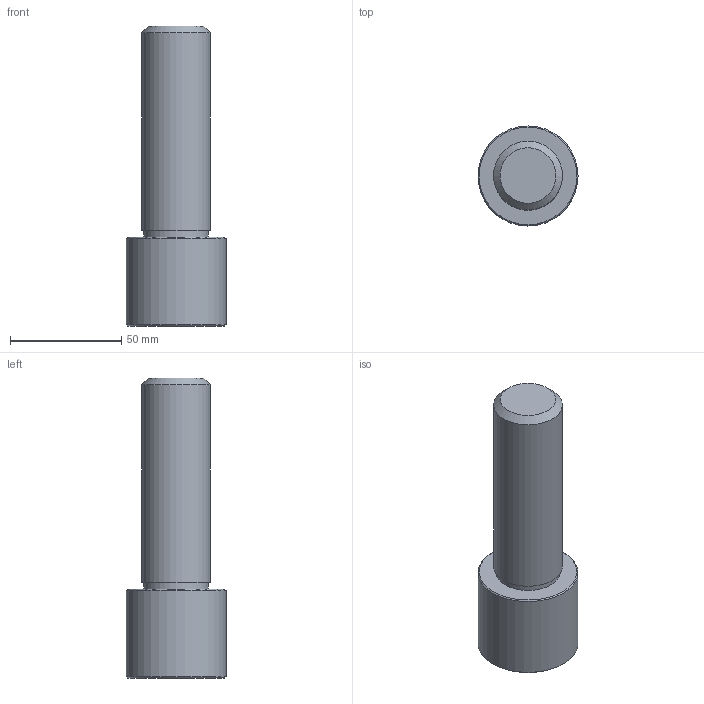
import cadquery as cq

total_height = 135.0
base_diameter = 45.0
base_height = 40.0
base_chamfer = 0.5
neck_diameter = 29.0
neck_height = 3.0
shank_diameter = 31.0
shank_chamfer = 3.0

shank_bottom = base_height + neck_height
shank_length = total_height - shank_bottom


def make_base():
    """Large cylinder standing on Z = 0, with both rims chamfered."""
    base = cq.Workplane("XY").circle(base_diameter / 2).extrude(base_height)
    return base.faces("<Z or >Z").edges().chamfer(base_chamfer)


def make_neck():
    """Relief neck between the base and the shank."""
    return cq.Workplane("XY").workplane(offset=base_height).circle(neck_diameter / 2).extrude(neck_height)


def make_shank():
    """Long cylinder with a chamfered free end."""
    shank = cq.Workplane("XY").workplane(offset=shank_bottom).circle(shank_diameter / 2).extrude(shank_length)
    return shank.faces(">Z").edges().chamfer(shank_chamfer)


result = make_base().union(make_neck()).union(make_shank())